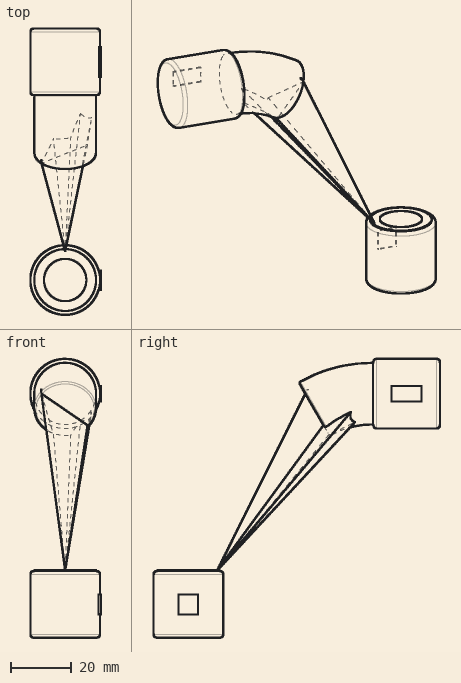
import cadquery as cq

OVERALL_HEIGHT = 91.9
OVERALL_DEPTH = 94.35
OVERALL_WIDTH = 23.4

CAP_DIAMETER = 23.0
CAP_LENGTH = 22.0
CAP_EDGE_RADIUS = 1.1

LID_DIAMETER = 20.4
LID_HEIGHT = 0.3
LID_RECESS_DIAMETER = 14.0
LID_RECESS_DEPTH = 0.1

ELBOW_DIAMETER = LID_DIAMETER
ELBOW_OUTER_RADIUS = 48.5
ELBOW_ANGLE = 30.0
ELBOW_EDGE_RADIUS = 0.6

PAD_HEIGHT = 6.6
LOWER_PAD_WIDTH = 6.4
UPPER_PAD_WIDTH = 5.1
UPPER_PAD_LENGTH = 9.8
PAD_EMBED = 1.9

SPIKE_TIP = (0.0, 9.3, 22.0)
SPIKE_ROOT = [
    (-8.0, 39.2, 81.8),
    (7.6, 45.9, 71.9),
    (9.4, 57.1, 78.6),
    (5.5, 58.8, 75.2),
    (2.0, 49.5, 69.9),
    (-4.1, 48.4, 69.5),
]

CAP_RADIUS = CAP_DIAMETER / 2
UPPER_AXIS_Z = OVERALL_HEIGHT - CAP_RADIUS
UPPER_BACK_Y = OVERALL_DEPTH - CAP_RADIUS
ELBOW_START_Y = UPPER_BACK_Y - CAP_LENGTH - LID_HEIGHT
ELBOW_BEND_RADIUS = ELBOW_OUTER_RADIUS - ELBOW_DIAMETER / 2
PAD_OUTER_X = OVERALL_WIDTH - CAP_RADIUS


def make_cap():
    """Round cap standing on Z = 0 with rounded rims and a thin raised lid."""
    body = cq.Workplane("XY").circle(CAP_RADIUS).extrude(CAP_LENGTH)
    body = body.edges().fillet(CAP_EDGE_RADIUS)
    lid = cq.Workplane("XY").workplane(offset=CAP_LENGTH).circle(LID_DIAMETER / 2).extrude(LID_HEIGHT)
    return body.union(lid)


def make_lower_cap():
    """Upright cap with a shallow round recess in its lid."""
    lid_top = CAP_LENGTH + LID_HEIGHT
    recess = (
        cq.Workplane("XY")
        .workplane(offset=lid_top - LID_RECESS_DEPTH)
        .circle(LID_RECESS_DIAMETER / 2)
        .extrude(LID_RECESS_DEPTH)
    )
    return make_cap().cut(recess)


def make_upper_cap():
    """Same cap laid down so that its lid faces -Y."""
    turned = make_cap().rotate((0, 0, 0), (1, 0, 0), 90)
    return turned.translate((0, UPPER_BACK_Y, UPPER_AXIS_Z))


def make_elbow():
    """Solid round bend with a rounded end edge; it leaves the upper cap along -Y and turns downward."""
    elbow = (
        cq.Workplane("XZ", origin=(0, ELBOW_START_Y, UPPER_AXIS_Z))
        .circle(ELBOW_DIAMETER / 2)
        .revolve(ELBOW_ANGLE, (-0.9, -ELBOW_BEND_RADIUS), (0.9, -ELBOW_BEND_RADIUS))
    )
    return elbow.faces("<Z").edges().fillet(ELBOW_EDGE_RADIUS)


def triangle(a, b, c):
    return cq.Face.makeFromWires(cq.Wire.makePolygon([cq.Vector(*p) for p in (a, b, c, a)]))


def make_spike():
    """Six-sided spike from the elbow's end down to a point on the lower cap."""
    count = len(SPIKE_ROOT)
    faces = [triangle(SPIKE_TIP, SPIKE_ROOT[i], SPIKE_ROOT[(i + 1) % count]) for i in range(count)]
    faces += [triangle(SPIKE_ROOT[0], SPIKE_ROOT[i + 1], SPIKE_ROOT[i]) for i in range(1, count - 1)]
    return cq.Workplane(obj=cq.Solid.makeSolid(cq.Shell.makeShell(faces)))


def make_pad(length_y, height_z, y, z):
    """Thin pad standing just proud of a cap on its +X side."""
    depth = PAD_OUTER_X - CAP_RADIUS + PAD_EMBED
    return cq.Workplane("XY").box(depth, length_y, height_z).translate((PAD_OUTER_X - depth / 2, y, z))


CAP_MIDDLE = CAP_LENGTH / 2
result = make_lower_cap().union(make_upper_cap()).union(make_elbow()).union(make_spike())
result = result.union(make_pad(LOWER_PAD_WIDTH, PAD_HEIGHT, 0, CAP_MIDDLE))
result = result.union(make_pad(UPPER_PAD_LENGTH, UPPER_PAD_WIDTH, UPPER_BACK_Y - CAP_MIDDLE, UPPER_AXIS_Z))